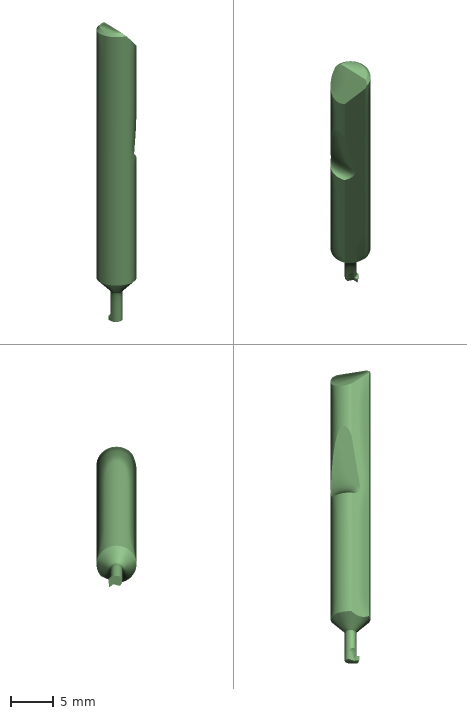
import cadquery as cq
import math

length = 38.1
shank_radius = 2.38
neck_radius = 0.7
neck_top = 3.9
cone_top = neck_top + shank_radius - neck_radius
top_chamfer = 0.4

slant_start_y = -0.55
flat_distance = 2.02
flat_direction = 145.0

notch_top = 29.9
notch_bottom = 21.1
notch_taper = 9.0
notch_corner_radius = 1.03

hook_reach = 1.15
hook_height = 0.6
hook_heel_x = 0.08
rake_y = 0.08
relief_top = 1.55
relief_distance = 0.45
relief_runout_radius = 0.75
end_rise = 0.15

overcut = 1.9
cutter_width = 4 * shank_radius


def make_bar():
    profile = [
        (0, 0),
        (neck_radius, 0),
        (neck_radius, neck_top),
        (shank_radius, cone_top),
        (shank_radius, length - top_chamfer),
        (shank_radius - top_chamfer, length),
        (0, length),
    ]
    return cq.Workplane("XZ").polyline(profile).close().revolve(360, (0, 0, 0), (0, 1, 0))


def make_hook():
    outline = [
        (0, rake_y),
        (-hook_reach, rake_y),
        (-neck_radius, -neck_radius),
        (hook_heel_x, -neck_radius),
    ]
    return cq.Workplane("XY").polyline(outline).close().extrude(hook_height)


def make_clamping_flat():
    block = cq.Workplane("XY").box(
        shank_radius, cutter_width, length, centered=(False, True, False)
    )
    return block.translate((flat_distance, 0, 0)).rotate((0, 0, 0), (0, 0, 1), flat_direction)


def make_slanted_top():
    run = shank_radius - slant_start_y + overcut
    outline = [
        (slant_start_y - overcut, length + overcut),
        (slant_start_y + run, length - run),
        (slant_start_y + run, length + overcut),
    ]
    return cq.Workplane("YZ").polyline(outline).close().extrude(shank_radius, both=True)


def make_notch():
    slope = math.tan(math.radians(notch_taper))
    floor_y = shank_radius - (notch_top - notch_bottom) * slope
    outer_y = shank_radius + overcut
    outline = [
        (floor_y, notch_bottom),
        (outer_y, notch_bottom),
        (outer_y, notch_top + overcut / slope),
    ]
    notch = cq.Workplane("YZ").polyline(outline).close().extrude(shank_radius, both=True)
    inner_edge = cq.selectors.NearestToPointSelector((0, floor_y, notch_bottom))
    return notch.edges(inner_edge).fillet(notch_corner_radius)


def make_chip_relief():
    depth = neck_radius - relief_distance
    arc_rise = math.sqrt(relief_runout_radius**2 - (relief_runout_radius - depth)**2)
    half_angle = math.asin(arc_rise / relief_runout_radius) / 2
    arc_start = relief_top - arc_rise
    arc_middle = (
        relief_distance + relief_runout_radius * (1 - math.cos(half_angle)),
        arc_start + relief_runout_radius * math.sin(half_angle),
    )
    outer = neck_radius + overcut
    relief = (
        cq.Workplane("XZ")
        .moveTo(relief_distance, -overcut)
        .lineTo(relief_distance, arc_start)
        .threePointArc(arc_middle, (neck_radius, relief_top))
        .lineTo(outer, relief_top)
        .lineTo(outer, -overcut)
        .close()
        .extrude(cutter_width / 2, both=True)
        .rotate((0, 0, 0), (0, 0, 1), flat_direction)
    )
    rake_side = cq.Workplane("XY").box(
        cutter_width, cutter_width, 2 * overcut, centered=(True, False, True)
    )
    return relief.intersect(rake_side.translate((0, rake_y, 0)))


def make_end_clearance():
    outline = [
        (-hook_reach, 0),
        (neck_radius, end_rise),
        (neck_radius, -end_rise),
        (-hook_reach, -end_rise),
    ]
    return cq.Workplane("XZ").polyline(outline).close().extrude(cutter_width / 2, both=True)


result = make_bar().union(make_hook())
for cutter in (
    make_clamping_flat(),
    make_slanted_top(),
    make_notch(),
    make_chip_relief(),
    make_end_clearance(),
):
    result = result.cut(cutter)